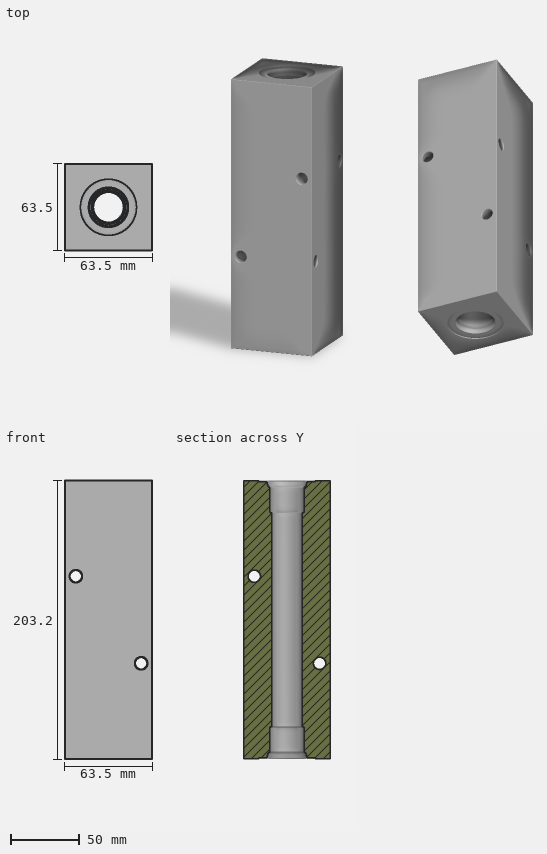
import cadquery as cq
import math

width = 63.5
height = 203.2
edge_chamfer = 0.254

spotface_diameter = 41.0
spotface_depth = 0.8
seat_diameter = 29.2
seat_depth = 3.4
seat_half_angle = 15.0
thread_diameter = 24.7
thread_end_depth = 23.0
drill_point_half_angle = 59.0

passage_diameter = 22.0

mount_diameter = 8.7
mount_offset = 23.8125
mount_height = 31.75
mount_chamfer = 0.4


def revolved_about_z(profile):
    """Solid of revolution about Z from (radius, height) points."""
    return cq.Workplane("XZ").polyline(profile).close().revolve(360, (0, 0, 0), (0, 1, 0))


def top_port():
    """Stepped port cavity opening at the top face."""
    face = height / 2
    seat_top = face - spotface_depth
    seat_bottom = seat_top - seat_depth
    thread_bottom = face - thread_end_depth
    seat_radius = seat_diameter / 2
    seat_small_radius = seat_radius - seat_depth * math.tan(math.radians(seat_half_angle))
    thread_radius = thread_diameter / 2
    thread_top = seat_bottom - (seat_small_radius - thread_radius)
    tip = thread_bottom - thread_radius / math.tan(math.radians(drill_point_half_angle))
    return revolved_about_z([
        (0, face),
        (spotface_diameter / 2, face),
        (spotface_diameter / 2, seat_top),
        (seat_radius, seat_top),
        (seat_small_radius, seat_bottom),
        (thread_radius, thread_top),
        (thread_radius, thread_bottom),
        (0, tip),
    ])


def mount_hole():
    """Through-hole cavity along Z, as long as the block is wide, chamfered at both ends."""
    face = width / 2
    radius = mount_diameter / 2
    return revolved_about_z([
        (0, -face),
        (radius + mount_chamfer, -face),
        (radius, -face + mount_chamfer),
        (radius, face - mount_chamfer),
        (radius + mount_chamfer, face),
        (0, face),
    ])


block = cq.Workplane("XY").box(width, width, height)
block = block.edges().chamfer(edge_chamfer)

port = top_port()
passage = cq.Workplane("XY").circle(passage_diameter / 2).extrude(height / 2, both=True)
block = block.cut(passage).cut(port).cut(port.mirror("XY"))

hole_along_y = mount_hole().rotate((0, 0, 0), (1, 0, 0), 90)
hole_along_x = mount_hole().rotate((0, 0, 0), (0, 1, 0), 90)
for side in (1, -1):
    level = side * mount_height
    block = block.cut(hole_along_y.translate((-side * mount_offset, 0, level)))
    block = block.cut(hole_along_x.translate((0, side * mount_offset, level)))

result = block